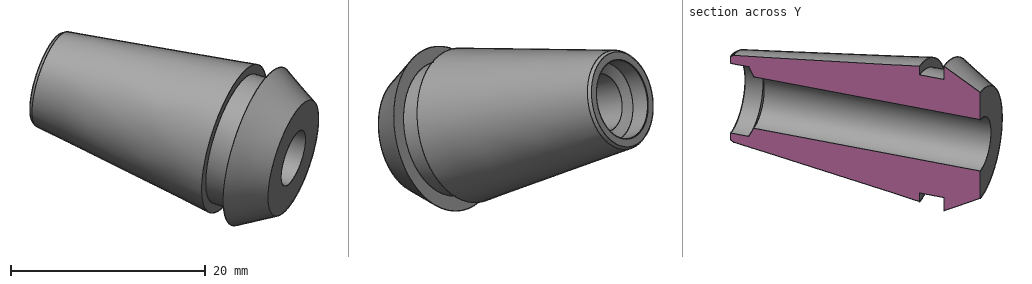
import cadquery as cq

length = 27.5
groove_start = 20.82
groove_end = 23.48

flange_radius = 8.54
flange_end_radius = 6.25
groove_radius = 6.98
cone_large_radius = 8.0
cone_small_radius = 5.15
nose_chamfer_length = 0.35
nose_chamfer_height = 0.22

bore_radius = 3.0
relief_radius = 4.07
relief_depth = 2.0
taper_length = 0.55
mouth_chamfer = 0.05


def make_body():
    """Long cone, nut groove and short front cone as one revolved profile."""
    profile = (
        cq.Workplane("XY")
        .moveTo(0, 0)
        .lineTo(0, cone_small_radius - nose_chamfer_height)
        .lineTo(nose_chamfer_length, cone_small_radius)
        .lineTo(groove_start, cone_large_radius)
        .lineTo(groove_start, groove_radius)
        .lineTo(groove_end, groove_radius)
        .lineTo(groove_end, flange_radius)
        .lineTo(length, flange_end_radius)
        .lineTo(length, 0)
        .close()
    )
    return profile.revolve(360, (0, 0, 0), (1, 0, 0))


def make_bore():
    """Chamfered relief, internal taper and through bore as one revolved cutter."""
    profile = (
        cq.Workplane("XY")
        .moveTo(0, 0)
        .lineTo(0, relief_radius + mouth_chamfer)
        .lineTo(mouth_chamfer, relief_radius)
        .lineTo(relief_depth, relief_radius)
        .lineTo(relief_depth + taper_length, bore_radius)
        .lineTo(length, bore_radius)
        .lineTo(length, 0)
        .close()
    )
    return profile.revolve(360, (0, 0, 0), (1, 0, 0))


result = make_body().cut(make_bore())